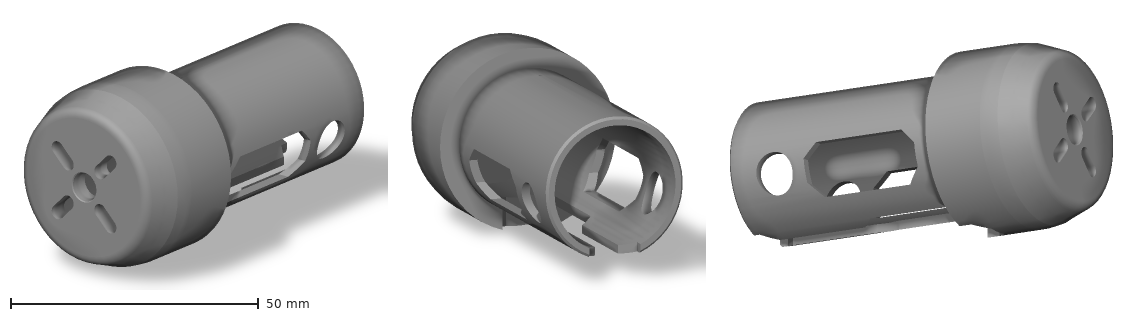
import cadquery as cq
import math

HEAD_RADIUS = 19.0
HEAD_LENGTH = 23.8
HEAD_STRAIGHT_START = 11.0
CONE_END = 7.05
CONE_END_RADIUS = 18.6
CONE_ANGLE = math.radians(20)
NOSE_FILLET = 2.0
FRONT_THICKNESS = 4.0

TOTAL_LENGTH = 72.6
TUBE_RADIUS = 14.85
WALL = 1.75
BORE_RADIUS = TUBE_RADIUS - WALL
REAR_CHAMFER = 0.5

CENTER_HOLE_DIAMETER = 6.0
CENTER_HOLE_CHAMFER = 0.2
VENT_WIDTH = 3.0
VENT_INNER_RADIUS = 5.9
VENT_OUTER_RADIUS = 9.7
VENT_ANGLES = (45, 135, 225, 315)

PIN_HOLE_DIAMETER = 1.0
PIN_HOLE_Y = 31.1
SIDE_HOLE_DIAMETER = 8.45
SIDE_HOLE_Y = 62.1
SIDE_HOLE_Z = -4.0
OPENING_CHAMFER = 3.0
WINDOW_START = 29.0
WINDOW_LENGTH = 26.0
WINDOW_HEIGHT = 10.7
WINDOW_TOP = 1.0
SLOT_WIDTH = 11.0
SLOT_START = 18.0
SLOT_END = 47.8
NOTCH_START = 67.8
SLIT_WIDTH = SLOT_WIDTH - 2 * OPENING_CHAMFER

REACH = 2 * HEAD_RADIUS


def make_body():
    """Solid of revolution: tapered head followed by the plain tube."""
    cone_slope = math.tan(CONE_ANGLE)
    nose_radius = CONE_END_RADIUS - CONE_END * cone_slope
    rise = HEAD_STRAIGHT_START - CONE_END
    bulge = HEAD_RADIUS - CONE_END_RADIUS
    arc_radius = (rise**2 + bulge**2) / (2 * bulge)
    half_turn = math.asin(rise / arc_radius) / 2
    arc_mid = (
        HEAD_RADIUS - arc_radius * (1 - math.cos(half_turn)),
        HEAD_STRAIGHT_START - arc_radius * math.sin(half_turn),
    )
    profile = (
        cq.Workplane("XY")
        .lineTo(nose_radius, 0)
        .lineTo(CONE_END_RADIUS, CONE_END)
        .threePointArc(arc_mid, (HEAD_RADIUS, HEAD_STRAIGHT_START))
        .lineTo(HEAD_RADIUS, HEAD_LENGTH)
        .lineTo(TUBE_RADIUS, HEAD_LENGTH)
        .lineTo(TUBE_RADIUS, TOTAL_LENGTH)
        .lineTo(0, TOTAL_LENGTH)
        .close()
    )
    body = profile.revolve(360, (0, 0, 0), (0, 1, 0))
    body = body.faces("<Y").edges().fillet(NOSE_FILLET)
    return body.faces(">Y").edges().chamfer(REAR_CHAMFER)


def rod_along_y(radius, start, end):
    return cq.Workplane("XZ", origin=(0, start, 0)).circle(radius).extrude(start - end)


def make_front_openings():
    """Centre hole, chamfered in front, and four radial vents."""
    hole_radius = CENTER_HOLE_DIAMETER / 2
    openings = rod_along_y(hole_radius, 0, FRONT_THICKNESS)
    mouth = cq.Solid.makeCone(
        hole_radius + CENTER_HOLE_CHAMFER,
        hole_radius,
        CENTER_HOLE_CHAMFER,
        pnt=cq.Vector(0, 0, 0),
        dir=cq.Vector(0, 1, 0),
    )
    openings = openings.union(cq.Workplane(mouth))
    vent_length = VENT_OUTER_RADIUS - VENT_INNER_RADIUS + VENT_WIDTH
    vent_center = (VENT_INNER_RADIUS + VENT_OUTER_RADIUS) / 2
    vent = (
        cq.Workplane("XZ")
        .center(vent_center, 0)
        .slot2D(vent_length, VENT_WIDTH)
        .extrude(-FRONT_THICKNESS)
    )
    for angle in VENT_ANGLES:
        openings = openings.union(vent.rotate((0, 0, 0), (0, 1, 0), angle))
    return openings


def chamfered_block(size_x, size_y, size_z, corner_edges):
    return cq.Workplane("XY").box(size_x, size_y, size_z).edges(corner_edges).chamfer(OPENING_CHAMFER)


def make_windows():
    """Octagonal window through both side walls."""
    block = chamfered_block(REACH, WINDOW_LENGTH, WINDOW_HEIGHT, "|X")
    return block.translate((0, WINDOW_START + WINDOW_LENGTH / 2, WINDOW_TOP - WINDOW_HEIGHT / 2))


def make_bottom_slot(start, end):
    """Slot with cut corners through the lower wall only."""
    block = chamfered_block(SLOT_WIDTH, end - start, REACH, "|Z")
    return block.translate((0, (start + end) / 2, -REACH / 2))


def make_bottom_slit():
    """Narrow slit that joins the bottom slot to the rear notch."""
    slot_middle = (SLOT_START + SLOT_END) / 2
    length = TOTAL_LENGTH - slot_middle
    block = cq.Workplane("XY").box(SLIT_WIDTH, length, REACH)
    return block.translate((0, slot_middle + length / 2, -REACH / 2))


def make_side_hole():
    hole = cq.Workplane("YZ").center(SIDE_HOLE_Y, SIDE_HOLE_Z).circle(SIDE_HOLE_DIAMETER / 2)
    return hole.extrude(REACH / 2, both=True)


def make_pin_hole():
    return cq.Workplane("XY").center(0, PIN_HOLE_Y).circle(PIN_HOLE_DIAMETER / 2).extrude(REACH)


result = (
    make_body()
    .cut(rod_along_y(BORE_RADIUS, FRONT_THICKNESS, TOTAL_LENGTH))
    .cut(make_front_openings())
    .cut(make_windows())
    .cut(make_bottom_slot(SLOT_START, SLOT_END))
    .cut(make_bottom_slot(NOTCH_START, TOTAL_LENGTH + REACH))
    .cut(make_bottom_slit())
    .cut(make_side_hole())
    .cut(make_pin_hole())
)